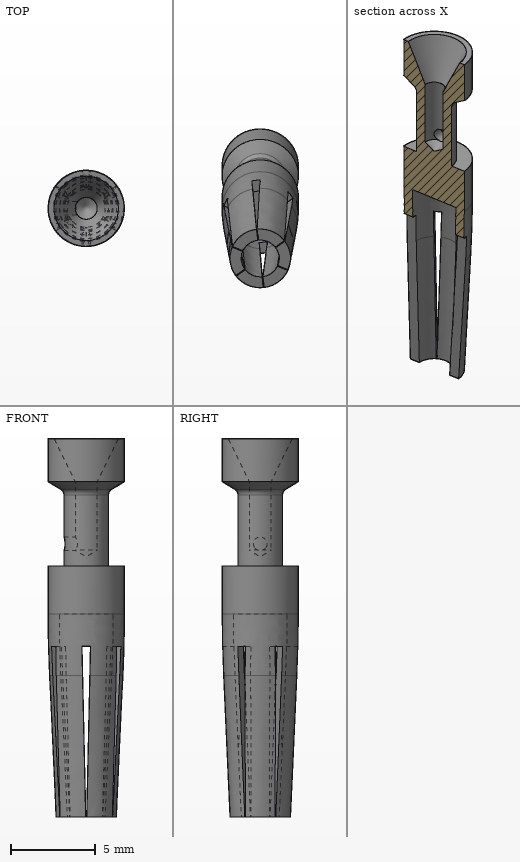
import cadquery as cq
import math

length = 22.3
body_radius = 2.25
neck_radius = 1.32

head_bottom = 19.75
shoulder_height = 14.8
bend_start = 11.98
bend_end = 8.35

tip_radius = 1.78
wall = 0.67
bend_height = bend_start - bend_end
finger_slope = (body_radius - tip_radius) / (bend_end + bend_height / 2)
bend_radius = body_radius - finger_slope * bend_height / 2
bend_middle_radius = body_radius - finger_slope * bend_height / 8
bend_middle = bend_start - bend_height / 2

slot_count = 6
slot_top = 10.05
slot_top_width = 0.5
slot_tip_width = 0.05
first_slot_angle = 30

cup_mouth_radius = 1.9
cup_bore_radius = 0.65
cup_cone_depth = 2.55
cup_bore_bottom = 15.72
drill_point_angle = 118

hole_height = 16.1
hole_diameter = 0.8

head_cone_slope = 0.6
neck_fillet = 0.38
corner_margin = 0.02


def make_body():
    """Revolve the outside: head, neck, collar and bent fingers."""
    cone_bottom = head_bottom - head_cone_slope * (body_radius - neck_radius)
    upper = (
        cq.Workplane("XZ")
        .moveTo(0, bend_start)
        .lineTo(body_radius, bend_start)
        .lineTo(body_radius, shoulder_height)
        .lineTo(neck_radius, shoulder_height)
        .lineTo(neck_radius, cone_bottom)
        .lineTo(body_radius, head_bottom)
        .lineTo(body_radius, length)
        .lineTo(0, length)
        .close()
        .revolve(360, (0, 0, 0), (0, 1, 0))
    )
    neck_corner = cq.selectors.BoxSelector(
        (-body_radius, -body_radius, cone_bottom - corner_margin),
        (body_radius, body_radius, cone_bottom + corner_margin),
    )
    return upper.edges(neck_corner).fillet(neck_fillet).union(finger_cone(0))


def finger_cone(inset):
    """Solid bounded by the bent finger surface, moved inward by the inset."""
    return (
        cq.Workplane("XZ")
        .lineTo(tip_radius - inset, 0)
        .lineTo(bend_radius - inset, bend_end)
        .threePointArc(
            (bend_middle_radius - inset, bend_middle),
            (body_radius - inset, bend_start),
        )
        .lineTo(0, bend_start)
        .close()
        .revolve(360, (0, 0, 0), (0, 1, 0))
    )


def make_slot(angle):
    """Tapered slot running outward from the axis, widest at its closed end."""
    return (
        cq.Workplane("YZ")
        .moveTo(-slot_tip_width / 2, 0)
        .lineTo(slot_tip_width / 2, 0)
        .lineTo(slot_top_width / 2, slot_top)
        .lineTo(-slot_top_width / 2, slot_top)
        .close()
        .extrude(2 * body_radius)
        .rotate((0, 0, 0), (0, 0, 1), angle)
    )


def make_cup():
    """Conical mouth leading to a bore with a drill point."""
    point_depth = cup_bore_radius / math.tan(math.radians(drill_point_angle / 2))
    return (
        cq.Workplane("XZ")
        .moveTo(0, length)
        .lineTo(cup_mouth_radius, length)
        .lineTo(cup_bore_radius, length - cup_cone_depth)
        .lineTo(cup_bore_radius, cup_bore_bottom)
        .lineTo(0, cup_bore_bottom - point_depth)
        .close()
        .revolve(360, (0, 0, 0), (0, 1, 0))
    )


def make_inspection_hole():
    """Hole from the -X side of the neck into the cup bore."""
    return (
        cq.Workplane("YZ")
        .center(0, hole_height)
        .circle(hole_diameter / 2)
        .extrude(-body_radius)
    )


result = make_body().cut(finger_cone(wall)).cut(make_cup()).cut(make_inspection_hole())
for index in range(slot_count):
    result = result.cut(make_slot(first_slot_angle + index * 360 / slot_count))